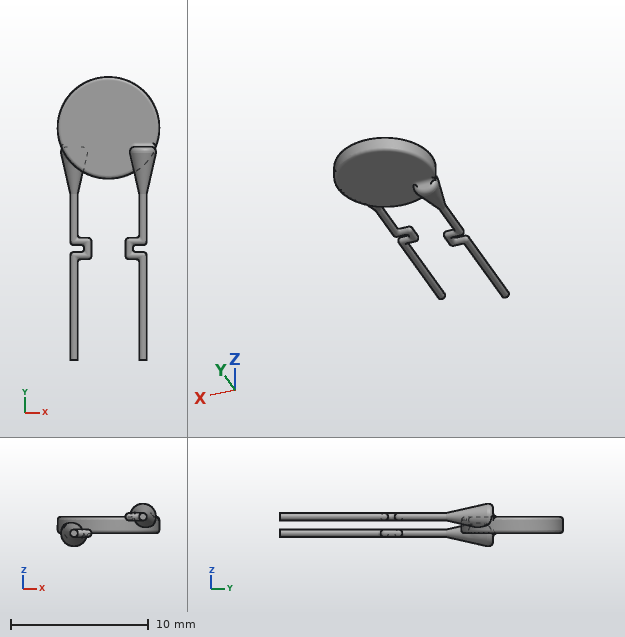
import cadquery as cq
import math

disc_radius = 3.7
disc_thickness = 1.2
disc_edge_radius = 0.25

lead_pitch = 5.0
lead_radius = 0.275
lead_tip_y = -16.85
lead_x = lead_pitch / 2
lead_z = disc_thickness / 2

kink_offset = 1.0
kink_upper_y = -8.24
kink_lower_y = -9.27
kink_inner_radius = 0.2

cone_radius = 0.95
cone_end_y = -1.38
cone_rim_radius = 0.34
cone_band_length = 0.12
cone_tip_y = -4.81

foot_blend_radius = 0.32
foot_corner_radius = 0.42


def make_disc():
    disc = cq.Workplane("XY").circle(disc_radius).extrude(disc_thickness)
    disc = disc.translate((0, 0, -disc_thickness / 2))
    return disc.edges().fillet(disc_edge_radius)


def make_coating():
    """Cone of revolution about the lead axis, with a rounded rim at its large end."""
    band_start_y = cone_end_y - cone_rim_radius
    rim_centre_radius = cone_radius - cone_rim_radius
    profile = (
        cq.Workplane("XY")
        .moveTo(0, cone_end_y)
        .lineTo(rim_centre_radius, cone_end_y)
        .tangentArcPoint((cone_radius, band_start_y), relative=False)
        .lineTo(cone_radius, band_start_y - cone_band_length)
        .lineTo(lead_radius, cone_tip_y)
        .lineTo(0, cone_tip_y)
        .close()
    )
    coating = profile.revolve(360, (0, 0, 0), (0, 1, 0))
    return coating.translate((lead_x, 0, lead_z))


def make_wire():
    """Round wire with four square bends, rounded outside by balls and inside by fillets."""
    inner_x = lead_x - kink_offset
    bends = [
        cq.Vector(lead_x, kink_upper_y, lead_z),
        cq.Vector(inner_x, kink_upper_y, lead_z),
        cq.Vector(inner_x, kink_lower_y, lead_z),
        cq.Vector(lead_x, kink_lower_y, lead_z),
    ]
    start = cq.Vector(lead_x, cone_tip_y, lead_z)
    tip = cq.Vector(lead_x, lead_tip_y, lead_z)
    path = [start] + bends + [tip]

    wire = cq.Workplane("XY")
    for a, b in zip(path, path[1:]):
        run = b - a
        wire = wire.union(cq.Workplane(cq.Solid.makeCylinder(lead_radius, run.Length, a, run)))
    for bend in bends:
        wire = wire.union(cq.Workplane("XY").sphere(lead_radius).translate(bend.toTuple()))
    return wire.edges("%ELLIPSE").fillet(kink_inner_radius)


def foot_profile():
    """Half section from the foot's core to its toe, rising in a concave arc above the disc face."""
    reach = foot_corner_radius
    arc_mid = foot_blend_radius * (1 - math.sqrt(0.5))
    return (
        cq.Workplane("YZ")
        .moveTo(0, -disc_edge_radius)
        .lineTo(reach, -disc_edge_radius)
        .lineTo(reach, 0)
        .threePointArc(
            (reach - foot_blend_radius + arc_mid, arc_mid),
            (reach - foot_blend_radius, foot_blend_radius),
        )
        .lineTo(0, foot_blend_radius)
        .close()
    )


def make_foot():
    """Straight concave fillet with rounded corners, kept within the rim of the disc."""
    corner_y = cone_end_y + foot_blend_radius - foot_corner_radius
    corner_x = cone_radius - foot_corner_radius
    foot = foot_profile().extrude(corner_x, both=True)
    corner = foot_profile().revolve(360, (0, 0, 0), (0, 1, 0))
    for x in (-corner_x, corner_x):
        foot = foot.union(corner.translate((x, 0, 0)))
    foot = foot.translate((lead_x, corner_y, lead_z))
    rim_limit = cq.Workplane("XY").circle(disc_radius).extrude(disc_thickness)
    return foot.intersect(rim_limit)


lead = make_wire().union(make_coating()).union(make_foot())
body = make_disc()
for turn in (0, 180):
    body = body.union(lead.rotate((0, 0, 0), (0, 1, 0), turn))
result = body